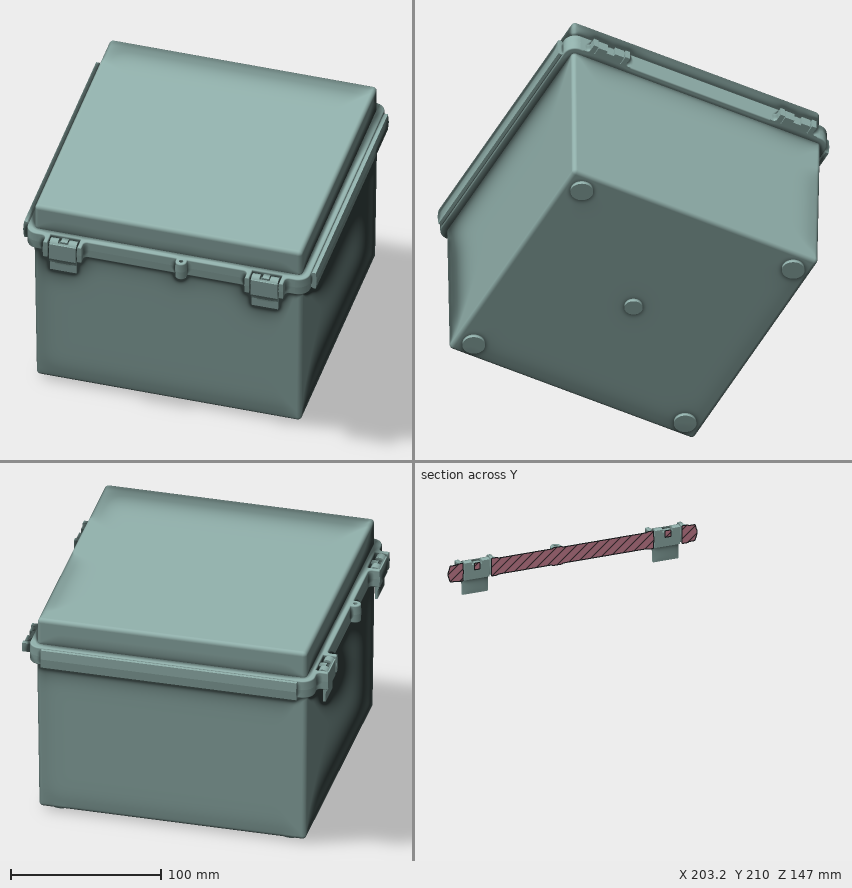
import cadquery as cq
import math

FOOT_HEIGHT = 2.5
FLANGE_BOTTOM = 115.4
SEAM = 121.9
FLANGE_TOP = 128.4
LID_TOP = 147.0

BOX_HALF_BOTTOM = 91.6
BOX_HALF_TOP = 92.9
LID_HALF = 92.5
SHELL_ROUND = 2.7
FOOT_OFFSET = 79.0
CORNER_FOOT_RADIUS = 7.5
CENTER_FOOT_RADIUS = 6.0

FLANGE_HALF = 98.0
FLANGE_CORNER = 8.5
FLANGE_ROUND = 0.8
FLANGE_DRAFT = 2.0
OVERALL_WIDTH = 203.2
WING_REACH = OVERALL_WIDTH / 2
WING_HALF_LENGTH = 87.8
WING_DRAFT_STEP = 0.6
WING_GROOVE = 0.8

TAB_X = 11.1
TAB_Y = -99.8
TAB_RADIUS = 4.0
TAB_HOLE_RADIUS = 1.5

REACH = 105.0
LATCH_X = 69.8
EAR_HALF = 13.5
EAR_GAP_HALF = 10.0
FRONT_ROOT_ROUND = 2.5
BACK_ROOT_ROUND = 2.0
BACK_BASE_HALF = EAR_HALF + 2 * BACK_ROOT_ROUND
POCKET_WALL = 96.0

LATCH_HALF = 9.2
LATCH_INNER = 97.7
LATCH_OUTER = 104.5
PLATE_TOP = 126.7
CROWN_RADIUS = 4.2
CROWN_Y = 100.2
LATCH_BEND = 114.5
GRIP_TOP = 110.3
GRIP_KNEE = 112.0
GRIP_KNEE_OUTER = 103.0
GRIP_BOTTOM = 104.0
GRIP_INNER = 100.6
GRIP_OUTER = 102.3
RECESS_HALF = 3.5
RECESS_OUTER = 103.0
RECESS_DEPTH = 2.7
LUG_HALF = 2.3
LUG_OUTER = 100.5
LUG_TOP = 127.0
PIN_RADIUS = 1.0
PIN_Y = 101.5
JOINT_OVERLAP = 1.0

HINGE_OUTER = 104.2
HINGE_SLOPE_TOP = 126.0
HINGE_SLOPE_FOOT = 102.3
WEDGE_HALF = 9.5
WEDGE_NOTCH_HALF = 3.5
WEDGE_NOTCH_FLOOR = 100.0
HINGE_NOTCH_HALF = 2.7


def block(x_range, y_range, z_range):
    """Box between the given low and high limits."""
    spans = [high - low for low, high in (x_range, y_range, z_range)]
    lows = (x_range[0], y_range[0], z_range[0])
    return cq.Workplane("XY").box(*spans, centered=False).translate(lows)


def make_box():
    height = FLANGE_BOTTOM - FOOT_HEIGHT
    draft = math.degrees(math.atan((BOX_HALF_TOP - BOX_HALF_BOTTOM) / height))
    body = (
        cq.Workplane("XY", origin=(0, 0, FLANGE_BOTTOM))
        .rect(2 * BOX_HALF_TOP, 2 * BOX_HALF_TOP)
        .extrude(-height, taper=draft)
    )
    return body.edges("not >Z").fillet(SHELL_ROUND)


def make_lid():
    lid = block((-LID_HALF, LID_HALF), (-LID_HALF, LID_HALF), (FLANGE_BOTTOM, LID_TOP))
    return lid.edges("|Z or >Z").fillet(SHELL_ROUND)


def make_feet():
    corners = [(sx * FOOT_OFFSET, sy * FOOT_OFFSET) for sx in (-1, 1) for sy in (-1, 1)]
    length = FOOT_HEIGHT + SHELL_ROUND
    feet = cq.Workplane("XY").pushPoints(corners).circle(CORNER_FOOT_RADIUS).extrude(length)
    return feet.union(cq.Workplane("XY").circle(CENTER_FOOT_RADIUS).extrude(length))


def round_roots(body, x, y, radius):
    """Fillet the vertical corners where a pair of ears at x leaves the flange side at y."""
    margin = 0.2
    reach = EAR_HALF + margin
    corners = cq.selectors.BoxSelector(
        (x - reach, y - margin, FLANGE_BOTTOM),
        (x + reach, y + margin, FLANGE_TOP),
    )
    return body.edges("|Z").edges(corners).fillet(radius)


def make_flange_half():
    """Upper half of the flange, from the seam up to the rounded top edge."""
    height = FLANGE_TOP - SEAM
    z_range = (SEAM, FLANGE_TOP)
    plate = block((-FLANGE_HALF, FLANGE_HALF), (-FLANGE_HALF, FLANGE_HALF), z_range)
    plate = plate.edges("|Z").fillet(FLANGE_CORNER)

    for x in (-LATCH_X, LATCH_X):
        plate = plate.union(block((x - EAR_HALF, x + EAR_HALF), (-REACH, -POCKET_WALL), z_range))
        plate = round_roots(plate, x, -FLANGE_HALF, FRONT_ROOT_ROUND)
        plate = plate.cut(block((x - EAR_GAP_HALF, x + EAR_GAP_HALF), (-REACH, -POCKET_WALL), z_range))

    tab = cq.Workplane("XY", origin=(TAB_X, TAB_Y, SEAM)).circle(TAB_RADIUS).extrude(height)
    tab = tab.union(block((TAB_X - TAB_RADIUS, TAB_X + TAB_RADIUS), (TAB_Y, -POCKET_WALL), z_range))
    plate = plate.union(tab)

    outline = plate.faces("<Z").wires().vals()
    drafted = cq.Workplane("XY").add(outline).toPending().extrude(height, taper=FLANGE_DRAFT)
    return drafted.faces(">Z").edges().fillet(FLANGE_ROUND)


def make_flange():
    upper = make_flange_half()
    lower = upper.mirror("XY", (0, 0, SEAM))
    hole = cq.Workplane("XY", origin=(TAB_X, TAB_Y, FLANGE_BOTTOM)).circle(TAB_HOLE_RADIUS)
    return upper.union(lower).cut(hole.extrude(FLANGE_TOP - FLANGE_BOTTOM))


def make_wings():
    """Straight strips along both sides of the flange, widest at the seam."""
    root = FLANGE_HALF - WING_GROOVE
    flat_start = FLANGE_HALF + WING_GROOVE
    flat_end = WING_REACH - WING_DRAFT_STEP
    wing = (
        cq.Workplane("XZ")
        .polyline([
            (root, FLANGE_BOTTOM + 2 * WING_GROOVE),
            (flat_start, FLANGE_BOTTOM),
            (flat_end, FLANGE_BOTTOM),
            (WING_REACH, SEAM),
            (flat_end, FLANGE_TOP),
            (flat_start, FLANGE_TOP),
            (root, FLANGE_TOP - 2 * WING_GROOVE),
        ])
        .close()
        .extrude(WING_HALF_LENGTH, both=True)
    )
    return wing.union(wing.mirror("YZ"))


def make_latch(x):
    crown_center = FLANGE_TOP - CROWN_RADIUS
    crown_start = crown_center + math.sqrt(CROWN_RADIUS**2 - (CROWN_Y - LATCH_INNER) ** 2)
    crown_end = CROWN_Y + math.sqrt(CROWN_RADIUS**2 - (PLATE_TOP - crown_center) ** 2)
    latch = (
        cq.Workplane("YZ", origin=(x, 0, 0))
        .moveTo(-LATCH_INNER, crown_start)
        .threePointArc((-CROWN_Y, FLANGE_TOP), (-crown_end, PLATE_TOP))
        .lineTo(-LATCH_OUTER, PLATE_TOP)
        .lineTo(-LATCH_OUTER, LATCH_BEND)
        .lineTo(-GRIP_KNEE_OUTER, GRIP_KNEE)
        .lineTo(-GRIP_OUTER, GRIP_TOP)
        .lineTo(-GRIP_OUTER, GRIP_BOTTOM)
        .lineTo(-GRIP_INNER, GRIP_BOTTOM)
        .lineTo(-GRIP_INNER, FLANGE_BOTTOM)
        .lineTo(-LATCH_INNER, FLANGE_BOTTOM)
        .close()
        .extrude(LATCH_HALF, both=True)
    )
    recess_floor = FLANGE_TOP - RECESS_DEPTH
    latch = latch.cut(
        block((x - RECESS_HALF, x + RECESS_HALF), (-RECESS_OUTER, -LATCH_INNER), (recess_floor, FLANGE_TOP))
    )
    lug = block((x - LUG_HALF, x + LUG_HALF), (-LUG_OUTER, JOINT_OVERLAP - POCKET_WALL), (SEAM, LUG_TOP))
    pin = cq.Workplane("YZ", origin=(x, -PIN_Y, SEAM)).circle(PIN_RADIUS)
    pin = pin.extrude(EAR_GAP_HALF + JOINT_OVERLAP, both=True)
    return latch.union(lug).union(pin)


def make_hinge(x):
    height = (FLANGE_BOTTOM, SEAM)
    lower = block((x - BACK_BASE_HALF, x + BACK_BASE_HALF), (POCKET_WALL, FLANGE_HALF), height)
    lower = lower.union(block((x - EAR_HALF, x + EAR_HALF), (POCKET_WALL, REACH), height))
    lower = round_roots(lower, x, FLANGE_HALF, BACK_ROOT_ROUND)
    lower = lower.cut(block((x - EAR_GAP_HALF, x + EAR_GAP_HALF), (FLANGE_HALF, REACH), height))
    lower = lower.union(block((x - WEDGE_HALF, x + WEDGE_HALF), (POCKET_WALL, HINGE_OUTER), height))
    notch = (x - HINGE_NOTCH_HALF, x + HINGE_NOTCH_HALF)
    lower = lower.cut(block(notch, (HINGE_SLOPE_FOOT, REACH), height))

    wedge = (
        cq.Workplane("YZ", origin=(x, 0, 0))
        .polyline([
            (POCKET_WALL, SEAM),
            (HINGE_SLOPE_FOOT, SEAM),
            (FLANGE_HALF, HINGE_SLOPE_TOP),
            (POCKET_WALL, HINGE_SLOPE_TOP),
        ])
        .close()
        .extrude(WEDGE_HALF, both=True)
    )
    notch = (x - WEDGE_NOTCH_HALF, x + WEDGE_NOTCH_HALF)
    wedge = wedge.cut(block(notch, (WEDGE_NOTCH_FLOOR, REACH), (SEAM, FLANGE_TOP)))
    return lower.union(wedge)


result = make_box().union(make_lid()).union(make_feet()).union(make_flange()).union(make_wings())
for latch_x in (-LATCH_X, LATCH_X):
    result = result.union(make_latch(latch_x)).union(make_hinge(latch_x))